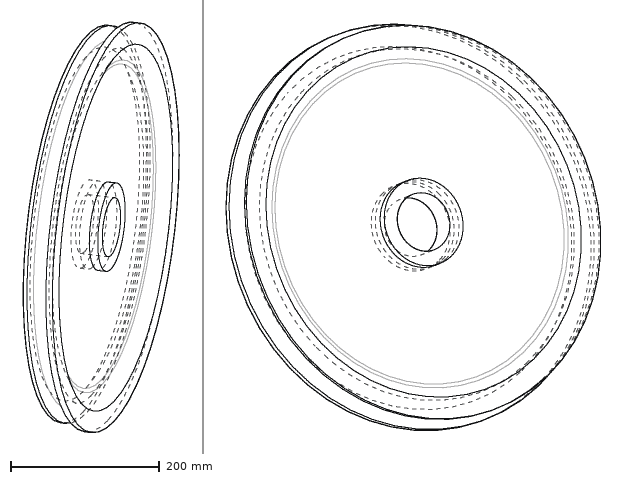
import cadquery as cq
import math

width = 44.0
flange_radius = 556 / 2
rim_radius = 540.0 / 2
hub_radius = 120.0 / 2
bore_radius = 80.0 / 2

groove_center = 19.5
groove_arc_radius = 11.0
groove_bottom_radius = 241.5
groove_wall_angle = math.radians(9)

hub_length = 38.0
flange_overhang = width - hub_length

recess_wall_angle = math.radians(35)
recess_mouth_radius = 240.0
recess_fillet_start_radius = 226.0
recess_floor_radius = 220.0


def wheel_body():
    """Solid disc with the rope groove around its edge and a recess in both faces."""
    arc_center_radius = groove_bottom_radius + groove_arc_radius
    tangent_offset = groove_arc_radius * math.cos(groove_wall_angle)
    tangent_radius = arc_center_radius - groove_arc_radius * math.sin(groove_wall_angle)

    def wall_offset(radius):
        """Axial distance from the groove center to its wall at the given radius."""
        return tangent_offset + (radius - tangent_radius) * math.tan(groove_wall_angle)

    profile = (
        cq.Workplane("XY")
        .moveTo(0, bore_radius)
        .lineTo(0, rim_radius)
        .lineTo(groove_center - wall_offset(rim_radius), rim_radius)
        .lineTo(groove_center - tangent_offset, tangent_radius)
        .threePointArc(
            (groove_center, groove_bottom_radius),
            (groove_center + tangent_offset, tangent_radius),
        )
        .lineTo(groove_center + wall_offset(flange_radius), flange_radius)
        .lineTo(width, flange_radius)
        .lineTo(width, bore_radius)
        .close()
    )
    return profile.revolve(360, (0, 0, 0), (1, 0, 0))


def face_recess():
    """Recess from the X = 0 end of the hub: conical wall, rounded into a flat floor.

    The cutter also reaches outward past the hub end, to clear the flange overhang.
    """
    fillet_run = recess_fillet_start_radius - recess_floor_radius
    wall_run = recess_mouth_radius - recess_fillet_start_radius
    wall_ratio = math.tan(recess_wall_angle)
    fillet_height = fillet_run * math.tan(recess_wall_angle / 2)
    recess_depth = wall_run * wall_ratio + fillet_height
    outer_mouth_radius = recess_mouth_radius + flange_overhang / wall_ratio
    profile = (
        cq.Workplane("XY")
        .moveTo(0, 0)
        .lineTo(-flange_overhang, 0)
        .lineTo(-flange_overhang, outer_mouth_radius)
        .lineTo(recess_depth - fillet_height, recess_fillet_start_radius)
        .tangentArcPoint((recess_depth, recess_floor_radius), relative=False)
        .lineTo(recess_depth, hub_radius)
        .lineTo(0, hub_radius)
        .close()
    )
    return profile.revolve(360, (0, 0, 0), (1, 0, 0))


near_recess = face_recess()
far_recess = near_recess.mirror("YZ").translate((hub_length, 0, 0))
result = wheel_body().cut(near_recess).cut(far_recess)